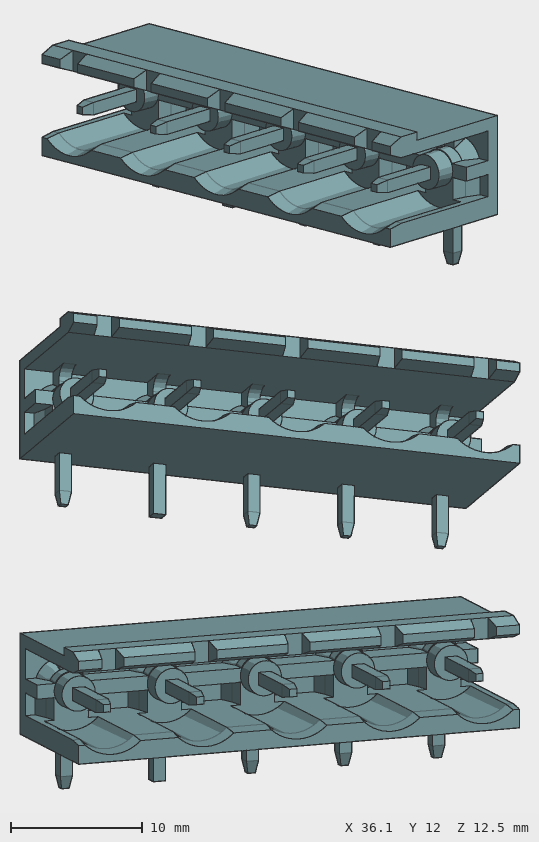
import cadquery as cq

pole_count = 5
pitch = 7.62
length = 36.08
depth = 12.0
height = 8.5

back_wall = 1.1
floor_z = 1.65
floor_front_z = 1.45
ceiling_z = 6.85
roof_z = 7.85
lead_in = 1.2
floor_bevel = 1.25
lip_depth = 3.0
lip_nose_bottom_z = 7.3
lip_nose_top_z = 8.0
wall_y = depth - back_wall

notch_back_width = 1.4
notch_front_width = 1.8

pin_width = 1.0
pin_axis_z = 3.9
pin_front_y = 1.2
pin_taper = 1.0
pin_tip_width = 0.6
leg_y = 10.0
leg_length = 4.0
plain_leg_index = 1

rib_height = 1.1
rib_bottom_z = 3.4
support_front_y = depth - 3.5
flare_end_y = depth - 2.4
boss_front_y = depth - 5.0
boss_tip_radius = 1.36
boss_base_radius = 1.4
collar_radius = 1.45
flare_radius = 2.02
pedestal_front = 1.4
pedestal_middle = 1.6
pedestal_bend_y = depth - 2.3
web_fillet = 1.1

trough_radius = 3.14
trough_front_radius = trough_radius + floor_z - floor_front_z

pin_positions = [(i - (pole_count - 1) / 2) * pitch for i in range(pole_count)]


def box(x_size, y_range, z_range, x_center=0.0):
    """Box given by its X size and its Y and Z limits."""
    y_size = y_range[1] - y_range[0]
    z_size = z_range[1] - z_range[0]
    corner = (x_center - x_size / 2, y_range[0], z_range[0])
    return cq.Workplane("XY").box(x_size, y_size, z_size, centered=False).translate(corner)


def turned(x, outline):
    """Solid turned about a pin's horizontal axis, from (radius, Y) points."""
    profile = cq.Workplane("XY").polyline(outline).close()
    return profile.revolve(360, (0, 0, 0), (0, 1, 0)).translate((x, 0, pin_axis_z))


def housing():
    """C-shaped channel, open to the front, with a raised lip on its roof."""
    section = [
        (0, 0),
        (depth, 0),
        (depth, roof_z),
        (lip_depth, roof_z),
        (lip_depth, height),
        (lead_in, height),
        (0, lip_nose_top_z),
        (0, lip_nose_bottom_z),
        (lead_in, ceiling_z),
        (wall_y, ceiling_z),
        (wall_y, floor_z),
        (floor_bevel, floor_z),
        (0, floor_front_z),
    ]
    return cq.Workplane("YZ").polyline(section).close().extrude(length / 2, both=True)


def lip_notch(x):
    """Notch through the lip that widens toward the front."""
    front = notch_front_width / 2
    back = notch_back_width / 2
    outline = [(x - front, 0), (x + front, 0), (x + back, lead_in), (x - back, lead_in)]
    through_lip = cq.Workplane("XY", origin=(0, 0, floor_z)).polyline(outline).close()
    return through_lip.extrude(height - floor_z)


def trough(x):
    """Round trough in the floor, opening out conically along the front bevel."""
    outline = [
        (0, 0),
        (trough_front_radius, 0),
        (trough_radius, floor_bevel),
        (trough_radius, support_front_y),
        (0, support_front_y),
    ]
    below_floor = box(length, (0, depth), (0, floor_z))
    return turned(x, outline).intersect(below_floor)


def pedestal(x):
    """Block under the rib whose sides flare out in two steps toward the back wall."""
    outline = [
        (x - pedestal_front, support_front_y),
        (x + pedestal_front, support_front_y),
        (x + pedestal_middle, pedestal_bend_y),
        (x + flare_radius, wall_y),
        (x + flare_radius, depth),
        (x - flare_radius, depth),
        (x - flare_radius, wall_y),
        (x - pedestal_middle, pedestal_bend_y),
    ]
    return cq.Workplane("XY").polyline(outline).close().extrude(pin_axis_z)


def boss(x):
    """Slightly tapered boss and collar around the pin, with a conical root at the back wall."""
    outline = [
        (0, boss_front_y),
        (boss_tip_radius, boss_front_y),
        (boss_base_radius, support_front_y),
        (collar_radius, support_front_y),
        (collar_radius, flare_end_y),
        (flare_radius, wall_y),
        (0, wall_y),
    ]
    return turned(x, outline)


def web(x):
    """Thin web from the boss to the roof, rounded where it meets the roof."""
    web_section = (
        cq.Workplane("YZ")
        .moveTo(wall_y, pin_axis_z)
        .lineTo(flare_end_y, pin_axis_z)
        .lineTo(flare_end_y, ceiling_z - web_fillet)
        .radiusArc((flare_end_y - web_fillet, ceiling_z), -web_fillet)
        .lineTo(wall_y, ceiling_z)
        .close()
    )
    return web_section.extrude(pin_width / 2, both=True).translate((x, 0, 0))


def pin_tip(bar, end):
    """Tapered tip on the end face of a square bar."""
    base = bar.faces(end).workplane(centerOption="CenterOfMass").rect(pin_width, pin_width)
    tip = base.workplane(offset=pin_taper).rect(pin_tip_width, pin_tip_width)
    return tip.loft(combine=False)


def pin(x, tapered_leg):
    """Square pin: a horizontal contact at the front and a solder leg below."""
    half = pin_width / 2
    contact = box(pin_width, (pin_front_y + pin_taper, leg_y), (pin_axis_z - half, pin_axis_z + half), x)
    leg_end_z = -leg_length + pin_taper if tapered_leg else -leg_length
    leg = box(pin_width, (leg_y - half, leg_y + half), (leg_end_z, pin_axis_z), x)
    body = contact.union(pin_tip(contact, "<Y")).union(leg)
    if tapered_leg:
        body = body.union(pin_tip(leg, "<Z"))
    return body


result = housing()
for x in pin_positions:
    result = result.cut(lip_notch(x)).cut(trough(x))

result = result.union(box(length, (support_front_y, depth), (rib_bottom_z, rib_bottom_z + rib_height)))
for index, x in enumerate(pin_positions):
    for feature in (pedestal(x), boss(x), web(x), pin(x, index != plain_leg_index)):
        result = result.union(feature)